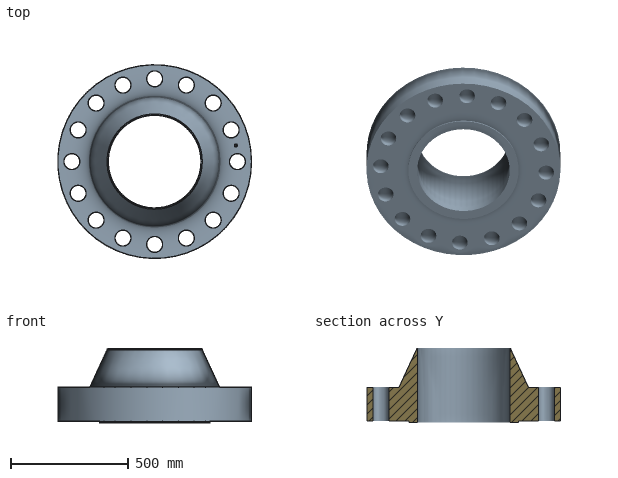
import cadquery as cq
import math

flange_diameter = 825.5
flange_thickness = 146.05
face_diameter = 469.9
face_height = 6.35
overall_height = 317.5

hub_base_diameter = 552.45
pipe_diameter = 406.4
bore_diameter = 393.7
pipe_straight_length = 4.0
hub_fillet_radius = 3.0

bevel_angle = 37.5
root_land = 1.6

bolt_count = 16
bolt_circle_diameter = 704.85
bolt_hole_diameter = 66.675

marker_mouth_diameter = 13.0
marker_bore_diameter = 8.0
marker_countersink_depth = (marker_mouth_diameter - marker_bore_diameter) / 2
marker_depth = 12.0

flange_bottom = face_height
flange_top = flange_bottom + flange_thickness
wall_thickness = (pipe_diameter - bore_diameter) / 2
bevel_width = wall_thickness - root_land
bevel_height = bevel_width * math.tan(math.radians(bevel_angle))
bevel_bottom = overall_height - bevel_height
cone_top = bevel_bottom - pipe_straight_length

bolt_pitch_angle = 360 / bolt_count


def make_body():
    """Revolve the half section of face, ring, hub and bore about Z."""
    bore_radius = bore_diameter / 2
    section = (
        cq.Workplane("XZ")
        .moveTo(bore_radius, 0)
        .lineTo(face_diameter / 2, 0)
        .lineTo(face_diameter / 2, flange_bottom)
        .lineTo(flange_diameter / 2, flange_bottom)
        .lineTo(flange_diameter / 2, flange_top)
        .lineTo(hub_base_diameter / 2, flange_top)
        .lineTo(pipe_diameter / 2, cone_top)
        .lineTo(pipe_diameter / 2, bevel_bottom)
        .lineTo(bore_radius + root_land, overall_height)
        .lineTo(bore_radius, overall_height)
        .close()
    )
    body = section.revolve(360, (0, 0, 0), (0, 1, 0))
    ring_top_point = (bolt_circle_diameter / 2, 0, flange_top)
    ring_top = body.faces(cq.NearestToPointSelector(ring_top_point))
    hub_base_edge = ring_top.edges(cq.selectors.RadiusNthSelector(0))
    return hub_base_edge.fillet(hub_fillet_radius)


def make_bolt_holes():
    """Ring of through holes, the first one on the +X axis."""
    return (
        cq.Workplane("XY")
        .polarArray(bolt_circle_diameter / 2, 0, 360, bolt_count)
        .circle(bolt_hole_diameter / 2)
        .extrude(overall_height)
    )


def make_marker_hole():
    """Countersunk blind hole in the top of the ring, half a bolt pitch from +X."""
    mouth_radius = marker_mouth_diameter / 2
    bore_radius = marker_bore_diameter / 2
    section = (
        cq.Workplane("XZ")
        .moveTo(0, 0)
        .lineTo(mouth_radius, 0)
        .lineTo(bore_radius, -marker_countersink_depth)
        .lineTo(bore_radius, -marker_depth)
        .lineTo(0, -marker_depth)
        .close()
    )
    hole = section.revolve(360, (0, 0, 0), (0, 1, 0))
    hole = hole.translate((bolt_circle_diameter / 2, 0, flange_top))
    return hole.rotate((0, 0, 0), (0, 0, 1), bolt_pitch_angle / 2)


result = make_body().cut(make_bolt_holes()).cut(make_marker_hole())